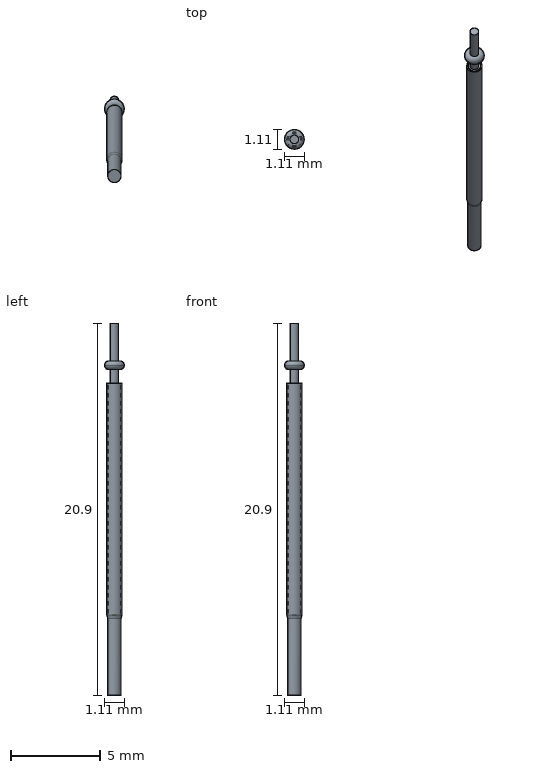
import cadquery as cq

overall_length = 20.85
tail_length = 4.31
flare_height = 0.19
barrel_length = 13.0

barrel_diameter = 0.86
tail_diameter = 0.75
bore_diameter = 0.7

shaft_diameter = 0.48
head_diameter = 0.68
head_recess = 0.02
bead_diameter = 1.11
bead_height = 0.5
bead_drop = 2.35

tail_radius = tail_diameter / 2
barrel_radius = barrel_diameter / 2
bore_radius = bore_diameter / 2
shaft_radius = shaft_diameter / 2
head_radius = head_diameter / 2
bead_radius = bead_diameter / 2
bead_round = bead_height / 2

barrel_bottom = tail_length + flare_height
barrel_top = barrel_bottom + barrel_length
head_top = barrel_top - head_recess
bead_center = overall_length - bead_drop


def turn(profile):
    """Revolve a half profile, with radius along X and height along Z, around the Z axis."""
    return profile.close().revolve(360, (0, 0, 0), (0, 1, 0))


def make_barrel():
    """Solid tail flaring out to a tubular barrel that is open at the top."""
    return turn(
        cq.Workplane("XZ")
        .lineTo(tail_radius, 0)
        .lineTo(tail_radius, tail_length)
        .lineTo(barrel_radius, barrel_bottom)
        .lineTo(barrel_radius, barrel_top)
        .lineTo(bore_radius, barrel_top)
        .lineTo(bore_radius, barrel_bottom)
        .lineTo(0, barrel_bottom)
    )


def make_plunger():
    """Head standing in the bore, just below its mouth, and a shaft with a torus bead on it."""
    stem = turn(
        cq.Workplane("XZ")
        .moveTo(0, barrel_bottom)
        .lineTo(head_radius, barrel_bottom)
        .lineTo(head_radius, head_top)
        .lineTo(shaft_radius, head_top)
        .lineTo(shaft_radius, overall_length)
        .lineTo(0, overall_length)
    )
    bead = cq.Solid.makeTorus(bead_radius - bead_round, bead_round, cq.Vector(0, 0, bead_center))
    return stem.union(cq.Workplane(obj=bead))


barrel = make_barrel()
plunger = make_plunger()

result = cq.Compound.makeCompound([barrel.val(), plunger.val()])